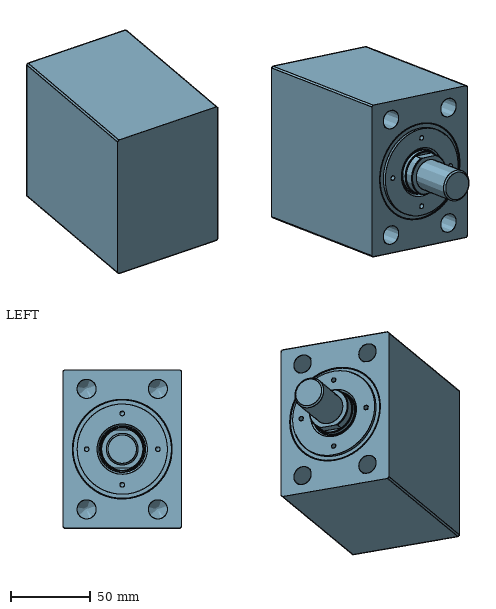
import cadquery as cq
import math


overall_length = 147.0
rod_reach = 40.0
housing_length = overall_length - rod_reach
housing_width = 75.0
housing_height = 100.0
housing_edge_chamfer = 1.0

mount_hole_diameter = 12.0
mount_hole_depth = 25.0
mount_spacing_y = 45.0
mount_spacing_z = 76.0
drill_point_angle = 118.0

gland_diameter = 62.0
gland_depth = 12.0
gland_seat_chamfer = 0.5
pilot_diameter = 56.9
pilot_height = 2.0
pin_hole_diameter = 3.0
pin_hole_depth = 5.0
pin_circle_radius = mount_spacing_y / 2
pin_hole_count = 4

wiper_lip_diameter = 28.0
wiper_body_diameter = 29.4
wiper_reach = 4.0
wiper_depth = 4.0
wiper_lip_chamfer = 0.5
gland_mouth_diameter = 31.8
mouth_chamfer = (gland_mouth_diameter - wiper_body_diameter) / 2

rod_end_diameter = 20.0
rod_end_chamfer = 1.0
collar_diameter = 26.9
collar_reach = 10.0
collar_chamfer = 0.5
flat_spacing = 24.0


def cylinder(diameter, x_start, x_end):
    """Solid cylinder on the X axis between two X positions."""
    return cq.Workplane("YZ", origin=(x_start, 0, 0)).circle(diameter / 2).extrude(x_end - x_start)


def drilled_hole(diameter, depth, x_face, y, z):
    """Blind drill cutter that enters at x_face along +X and ends in a conical point."""
    radius = diameter / 2
    point_length = radius / math.tan(math.radians(drill_point_angle / 2))
    profile = (
        cq.Workplane("XY")
        .lineTo(0, radius)
        .lineTo(depth, radius)
        .lineTo(depth + point_length, 0)
        .close()
    )
    return profile.revolve(360, (0, 0, 0), (1, 0, 0)).translate((x_face, y, z))


def make_housing():
    """Rectangular block with a chamfered gland seat and four mounting holes."""
    housing = (
        cq.Workplane("YZ")
        .rect(housing_width, housing_height)
        .extrude(housing_length)
        .edges("|X")
        .chamfer(housing_edge_chamfer)
    )
    housing = housing.cut(cylinder(gland_diameter, 0, gland_depth))
    housing = housing.faces("<X").edges("%CIRCLE").chamfer(gland_seat_chamfer)
    for y_side in (-1, 1):
        for z_side in (-1, 1):
            y = y_side * mount_spacing_y / 2
            z = z_side * mount_spacing_z / 2
            housing = housing.cut(drilled_hole(mount_hole_diameter, mount_hole_depth, 0, y, z))
    return housing


def make_gland():
    """Flange with raised pilot, flared mouth, wiper seat, rod bore and pin holes."""
    gland = cylinder(gland_diameter, 0, gland_depth).union(cylinder(pilot_diameter, -pilot_height, 0))
    gland = gland.cut(cylinder(collar_diameter, -pilot_height, gland_depth))
    gland = gland.cut(cylinder(wiper_body_diameter, -pilot_height, wiper_depth))
    gland = gland.faces("<X").edges(cq.selectors.RadiusNthSelector(0)).chamfer(mouth_chamfer)
    for index in range(pin_hole_count):
        angle = 2 * math.pi * index / pin_hole_count
        y = pin_circle_radius * math.cos(angle)
        z = pin_circle_radius * math.sin(angle)
        gland = gland.cut(drilled_hole(pin_hole_diameter, pin_hole_depth, -pilot_height, y, z))
    return gland


def make_wiper():
    """Ring around the rod: a body in the gland seat and a thinner chamfered lip in front."""
    body_front = mouth_chamfer - pilot_height
    body = cylinder(wiper_body_diameter, body_front, wiper_depth)
    lip = cylinder(wiper_lip_diameter, -wiper_reach, body_front).faces("<X").chamfer(wiper_lip_chamfer)
    return body.union(lip).cut(cylinder(collar_diameter, -wiper_reach, wiper_depth))


def make_rod():
    """Stepped rod with a chamfered end and two wrench flats on the collar."""
    rod_end = cylinder(rod_end_diameter, -rod_reach, -collar_reach).faces("<X").chamfer(rod_end_chamfer)
    collar = cylinder(collar_diameter, -collar_reach, gland_depth).faces("<X").chamfer(collar_chamfer)
    flat_length = collar_reach - wiper_reach
    for side in (-1, 1):
        flat_cutter = cq.Workplane("XY").box(flat_length, collar_diameter, collar_diameter)
        x = -(collar_reach + wiper_reach) / 2
        z = side * (flat_spacing + collar_diameter) / 2
        collar = collar.cut(flat_cutter.translate((x, 0, z)))
    return rod_end.union(collar)


housing = make_housing()
gland = make_gland()
wiper = make_wiper()
rod = make_rod()

result = cq.Compound.makeCompound([housing.val(), gland.val(), wiper.val(), rod.val()])